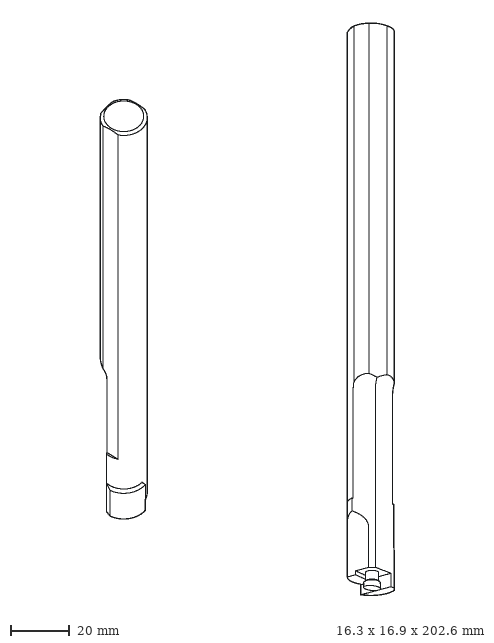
import cadquery as cq
import math

LENGTH = 202.6
SHANK_DIAMETER = 16.0
SHANK_RADIUS = SHANK_DIAMETER / 2
FLAT_OFFSET = 7.3
FLAT_END_Z = 31.2
BAR_END_Z = 4.5
TOP_CHAMFER_RADIAL = 1.2
TOP_CHAMFER_HEIGHT = 0.6

HEAD_RADIUS = 9.0
HEAD_BOTTOM_Z = 1.0
HEAD_TOP_Z = 14.5
HEAD_CONE_HEIGHT = 1.2
FACET_START_X = -1.6
FACET_END_X = 1.0

RIDGE = (-5.7, 0.5)
FRONT_FLUTE_EDGE = (-1.6, -7.3)
BACK_FLUTE_EDGE = (-2.6, 7.3)
FLUTE_TOP_Z = 70.1
FLUTE_RUNOUT_RADIUS = 6.3
RELIEF_START = (-4.9, 2.5)
RELIEF_ANGLE = 33.0
RELIEF_TOP_Z = 20.7
RELIEF_RUNOUT_RADIUS = 7.0

SEAT_WALL_POINT = (-1.8, -6.5)
SEAT_STEP_POINT = (0.0, 5.3)
SEAT_Z = 5.9

INSERT_CENTER = (-0.5, -0.3)
STEM_RADIUS = 2.2
FLANGE_RADIUS = 2.8
FLANGE_TOP_Z = 2.6
FLANGE_CHAMFER = 0.5
FACE_RISE = 0.6
FACE_LOW_ANGLE = 217.0

REACH = 40.5
DEEP = 20.3


def direction_angle(start, end):
    return math.degrees(math.atan2(end[1] - start[1], end[0] - start[0]))


def half_space(point, angle, bottom, top):
    """Block on the left of the line through point at angle, between two heights."""
    block = cq.Workplane("XY").box(2 * REACH, REACH, top - bottom, centered=(True, False, False))
    return block.rotate((0, 0, 0), (0, 0, 1), angle).translate((point[0], point[1], bottom))


def flute(point, angle, top, radius):
    """Half-space cutter whose upper end runs out along an arc tangent to the flat."""
    profile = (
        cq.Workplane("YZ")
        .moveTo(0, -DEEP)
        .lineTo(0, top)
        .radiusArc((radius, top + radius), radius)
        .lineTo(radius, -DEEP)
        .close()
        .extrude(REACH, both=True)
    )
    return profile.rotate((0, 0, 0), (0, 0, 1), angle).translate((point[0], point[1], 0))


def make_shank():
    shank = cq.Workplane("XY").workplane(offset=BAR_END_Z).circle(SHANK_RADIUS).extrude(LENGTH - BAR_END_Z)
    shank = shank.faces(">Z").chamfer(TOP_CHAMFER_HEIGHT, TOP_CHAMFER_RADIAL)
    shank = shank.cut(half_space((0, FLAT_OFFSET), 0, FLAT_END_Z, LENGTH))
    shank = shank.cut(half_space((0, -FLAT_OFFSET), 180, FLAT_END_Z, LENGTH))
    return shank.cut(half_space((-FLAT_OFFSET, 0), 90, 0, LENGTH))


def make_head():
    cone_top_z = HEAD_TOP_Z + HEAD_CONE_HEIGHT
    head = (
        cq.Workplane("XZ")
        .moveTo(0, HEAD_BOTTOM_Z)
        .lineTo(HEAD_RADIUS, HEAD_BOTTOM_Z)
        .lineTo(HEAD_RADIUS, HEAD_TOP_Z)
        .lineTo(SHANK_RADIUS, cone_top_z)
        .lineTo(0, cone_top_z)
        .close()
        .revolve(360, (0, 0, 0), (0, 1, 0))
    )
    head = head.cut(half_space(SEAT_WALL_POINT, RELIEF_ANGLE, 0, cone_top_z))
    facet_start = (FACET_START_X, -math.sqrt(SHANK_RADIUS**2 - FACET_START_X**2))
    facet_end = (FACET_END_X, -math.sqrt(HEAD_RADIUS**2 - FACET_END_X**2))
    facet_angle = direction_angle(facet_start, facet_end)
    return head.cut(half_space(facet_start, facet_angle + 180, 0, cone_top_z))


def make_bar():
    bar = make_shank().union(make_head())
    front_angle = direction_angle(FRONT_FLUTE_EDGE, RIDGE)
    back_angle = direction_angle(RIDGE, BACK_FLUTE_EDGE)
    bar = bar.cut(flute(RIDGE, front_angle, FLUTE_TOP_Z, FLUTE_RUNOUT_RADIUS))
    bar = bar.cut(flute(RIDGE, back_angle, FLUTE_TOP_Z, FLUTE_RUNOUT_RADIUS))
    bar = bar.cut(flute(RELIEF_START, RELIEF_ANGLE, RELIEF_TOP_Z, RELIEF_RUNOUT_RADIUS))
    seat_wall = half_space(SEAT_WALL_POINT, RELIEF_ANGLE, 0, SEAT_Z)
    seat_step = half_space(SEAT_STEP_POINT, RELIEF_ANGLE + 90, 0, SEAT_Z)
    return bar.cut(seat_wall.intersect(seat_step))


def make_insert():
    flange = cq.Workplane("XY").circle(FLANGE_RADIUS).extrude(FLANGE_TOP_Z).faces(">Z").chamfer(FLANGE_CHAMFER)
    below_face = (
        cq.Workplane("XZ")
        .polyline([(-FLANGE_RADIUS, FACE_RISE), (FLANGE_RADIUS, 0), (-FLANGE_RADIUS, 0)])
        .close()
        .extrude(FLANGE_RADIUS, both=True)
        .rotate((0, 0, 0), (0, 0, 1), FACE_LOW_ANGLE)
    )
    stem = cq.Workplane("XY").workplane(offset=FLANGE_TOP_Z).circle(STEM_RADIUS).extrude(SEAT_Z - FLANGE_TOP_Z)
    return flange.cut(below_face).union(stem).translate((*INSERT_CENTER, 0))


bar = make_bar()
insert = make_insert()
result = cq.Compound.makeCompound([bar.solids().val(), insert.solids().val()])